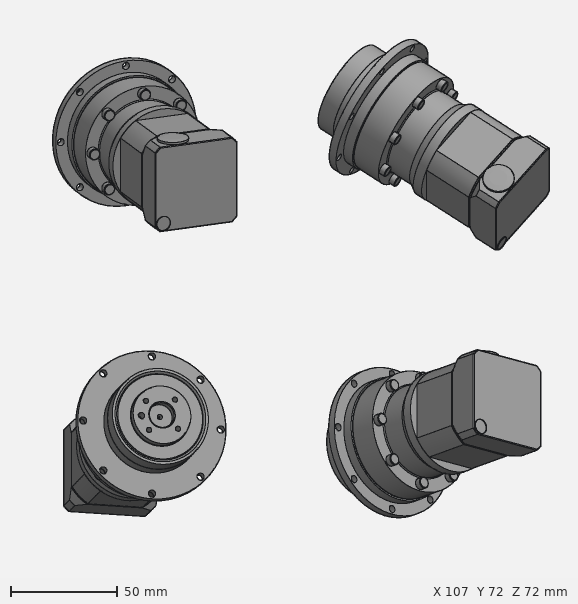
import cadquery as cq
import math


front_face_x = 3.1
front_ring_end_x = 12.2
flange_front_x = 19.3
flange_back_x = 23.3
collar_end_x = 28.6
gear_case_end_x = 43.3
neck_root_end_x = 43.9
cone_start_x = 56.5
cone_end_x = 60.6
rim_end_x = 65.5
motor_body_end_x = 90.3
end_box_x = 91.2
end_box_end_x = 106.6
overall_length = 107.0

front_ring_diameter = 46.7
spigot_diameter = 46.9
flange_diameter = 72.0
collar_diameter = 60.1
gear_case_diameter = 58.8
case_groove_diameter = 58.4
case_groove_width = 0.3
neck_root_diameter = 46.0
neck_diameter = 44.9
rim_diameter = 50.0

ring_count = 8
flange_hole_diameter = 3.4
flange_hole_circle = 66.9
screw_head_diameter = 5.5
screw_head_length = 3.2
screw_head_chamfer = 0.3
screw_circle = 52.0

square_side = 42.0
motor_corner_diameter = 49.8
end_box_corner_diameter = 56.0
gap_inset = 0.5
corner_bevel_length = 3.5
end_edge_chamfer = 0.4

plug_x = 98.4
plug_y = -8.5
plug_diameter = 14.9
plug_top_diameter = 8.5
plug_rim_height = 1.1
plug_height = 1.3

pad_diameter = 7.0
pad_offset = -16.9

seal_seat_diameter = 42.0
recess_mouth_diameter = 44.1
recess_floor_x = 4.1
seal_face_x = 3.4
seal_face_diameter = 41.2

shaft_gap_diameter = 28.7
shaft_gap_depth = 0.5
shaft_end_x = front_ring_end_x
shaft_diameter = 28.0
bore_diameter = 12.0
bore_mouth_diameter = 13.0
bore_depth = 4.3
center_diameter = 1.0
center_mouth_diameter = 2.5
center_cone_angle = 60.0
center_depth = 2.1
output_hole_circle = 20.0
screw_hole_diameter = 2.5
screw_hole_count = 4
screw_hole_angle = 39.0
dowel_hole_diameter = 3.0
dowel_hole_angle = -6.0
output_hole_depth = 6.4
drill_point_angle = 118.0


def turned(profile):
    """Revolve (x, diameter) points about the X axis, closing the outline along the axis."""
    outline = [(x, diameter / 2) for x, diameter in profile]
    start_x = profile[0][0]
    end_x, end_diameter = profile[-1]
    if end_diameter > 0:
        outline.append((end_x, 0))
    outline.append((start_x, 0))
    return cq.Workplane("XY").polyline(outline).close().revolve(360, (0, 0, 0), (1, 0, 0))


def rod(start_x, length, diameter):
    return turned([(start_x, diameter), (start_x + length, diameter)])


def square_bar(start_x, end_x, side):
    return cq.Workplane("YZ", origin=(start_x, 0, 0)).rect(side, side).extrude(end_x - start_x)


def placed(shape, circle_diameter, angle):
    """Move a shape from the axis out to a bolt circle; the angle runs from +Y towards +Z."""
    return shape.translate((0, circle_diameter / 2, 0)).rotate((0, 0, 0), (1, 0, 0), angle)


def turned_case():
    return turned(
        [
            (front_face_x, front_ring_diameter),
            (front_ring_end_x, front_ring_diameter),
            (front_ring_end_x, spigot_diameter),
            (flange_front_x, spigot_diameter),
            (flange_front_x, flange_diameter),
            (flange_back_x, flange_diameter),
            (flange_back_x, collar_diameter),
            (collar_end_x, collar_diameter),
            (collar_end_x, case_groove_diameter),
            (collar_end_x + case_groove_width, case_groove_diameter),
            (collar_end_x + case_groove_width, gear_case_diameter),
            (gear_case_end_x, gear_case_diameter),
            (gear_case_end_x, neck_root_diameter),
            (neck_root_end_x, neck_diameter),
            (cone_start_x, neck_diameter),
            (cone_end_x, rim_diameter),
            (rim_end_x, rim_diameter),
        ]
    )


def motor_body():
    body_length = motor_body_end_x - rim_end_x
    body = square_bar(rim_end_x, motor_body_end_x, square_side)
    body = body.intersect(rod(rim_end_x, body_length, motor_corner_diameter))
    gap_length = end_box_x - motor_body_end_x
    gap = square_bar(motor_body_end_x, end_box_x, square_side - 2 * gap_inset)
    gap = gap.intersect(rod(motor_body_end_x, gap_length, motor_corner_diameter - 2 * gap_inset))
    return body.union(gap)


def end_box():
    box = square_bar(end_box_x, end_box_end_x, square_side)
    corner_envelope = turned(
        [
            (end_box_x, motor_corner_diameter),
            (end_box_x + corner_bevel_length, end_box_corner_diameter),
            (end_box_end_x, end_box_corner_diameter),
        ]
    )
    return box.intersect(corner_envelope).faces(">X").chamfer(end_edge_chamfer)


def plug():
    outline = [
        (0, 0),
        (plug_diameter / 2, 0),
        (plug_diameter / 2, plug_rim_height),
        (plug_top_diameter / 2, plug_height),
        (0, plug_height),
    ]
    shape = cq.Workplane("XZ").polyline(outline).close().revolve(360, (0, 0, 0), (0, 1, 0))
    return shape.translate((plug_x, plug_y, square_side / 2))


def rear_pad():
    pad = rod(end_box_end_x, overall_length - end_box_end_x, pad_diameter)
    return pad.translate((0, pad_offset, pad_offset))


def seal_recess():
    """Conical mouth around a seal whose raised face has a bevelled outer edge."""
    return turned(
        [
            (front_face_x, recess_mouth_diameter),
            (recess_floor_x, seal_seat_diameter),
            (seal_face_x, seal_face_diameter),
        ]
    )


def shaft_seat():
    seat = rod(front_face_x, shaft_end_x - front_face_x, shaft_diameter)
    return seat.union(rod(front_face_x, seal_face_x + shaft_gap_depth - front_face_x, shaft_gap_diameter))


def make_housing():
    housing = turned_case().union(motor_body()).union(end_box()).union(plug()).union(rear_pad())
    housing = housing.cut(seal_recess()).cut(shaft_seat())
    flange_hole = rod(flange_front_x, flange_back_x - flange_front_x, flange_hole_diameter)
    screw_head = rod(gear_case_end_x, screw_head_length, screw_head_diameter)
    screw_head = screw_head.faces(">X").chamfer(screw_head_chamfer)
    for i in range(ring_count):
        angle = i * 360 / ring_count
        housing = housing.cut(placed(flange_hole, flange_hole_circle, angle))
        housing = housing.union(placed(screw_head, screw_circle, angle))
    return housing


def drilled_hole(diameter):
    """Blind hole from the shaft face with a conical drill point."""
    point_length = diameter / 2 / math.tan(math.radians(drill_point_angle / 2))
    return turned([(0, diameter), (output_hole_depth, diameter), (output_hole_depth + point_length, 0)])


def bore_cutter():
    mouth_depth = (bore_mouth_diameter - bore_diameter) / 2
    bore = turned([(0, bore_mouth_diameter), (mouth_depth, bore_diameter), (bore_depth, bore_diameter)])
    half_width = (center_mouth_diameter - center_diameter) / 2
    cone_depth = half_width / math.tan(math.radians(center_cone_angle / 2))
    center = turned(
        [
            (bore_depth, center_mouth_diameter),
            (bore_depth + cone_depth, center_diameter),
            (bore_depth + center_depth, center_diameter),
        ]
    )
    return bore.union(center)


def make_output_shaft():
    shaft = rod(0, shaft_end_x, shaft_diameter)
    shaft = shaft.cut(bore_cutter())
    for i in range(screw_hole_count):
        angle = screw_hole_angle + i * 360 / screw_hole_count
        shaft = shaft.cut(placed(drilled_hole(screw_hole_diameter), output_hole_circle, angle))
    return shaft.cut(placed(drilled_hole(dowel_hole_diameter), output_hole_circle, dowel_hole_angle))


housing = make_housing()
output_shaft = make_output_shaft()

result = cq.Compound.makeCompound([housing.val(), output_shaft.val()])